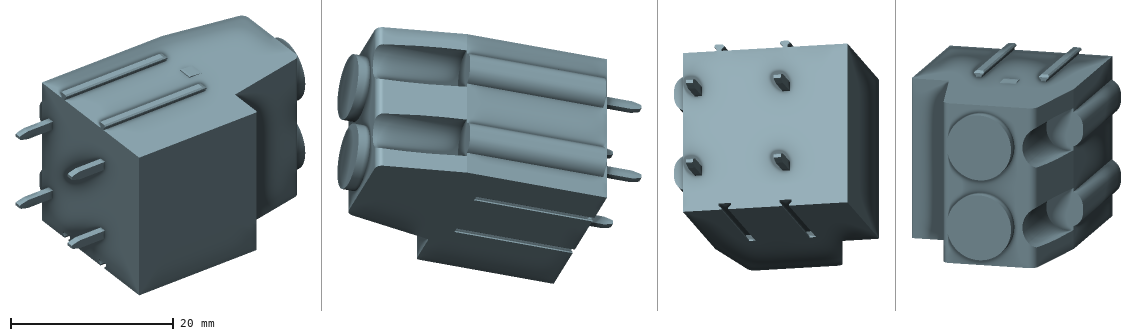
import cadquery as cq
import math

body_width = 20.8
body_height = 20.25
tower_top = 29.3
ledge_y = 17.85
kink_y = 18.2
tower_left = 1.9
tower_right = 13.6
ledge_left = 16.0
tower_fillet = 1.0
ledge_fillet = 0.3

pole_pitch = 10.13
first_pole_z = 5.1
pole_heights = [first_pole_z, first_pole_z + pole_pitch]

screw_x = 8.63
screw_diameter = 8.25
screw_length = 1.5

ridge_depth = 1.2
ridge_flat_half = 0.43
ridge_radius = 1.85
ridge_start = 0.5
ridge_mid_angle = math.radians(35)

hollow_x = 0.7
hollow_radius = 2.75

pin_centers = [1.97, 13.05]
pin_width = 0.9
pin_height = 1.15
pin_length = 5.0
pin_taper_start = 3.8
pin_bevel_start = 4.8
pin_taper_height = 0.65
pin_tip_height = 0.4
pin_root = 0.7

rail_centers = [4.6, 12.9]
rail_width = 1.2
rail_neck = 0.65
rail_height = 0.82
rail_neck_height = 0.25
rail_flare_height = 0.5
rail_chamfer = 0.18
rail_length = 15.35
rail_end_run = 0.55
rail_end_drop = 0.25
rail_root = 0.18
slot_centers = [5.3, 12.95]
slot_width = 1.55
slot_neck = 0.85
slot_depth = 0.8
slot_neck_height = 0.18
slot_flare_height = 0.5

key_center_x = 8.65
key_width = 2.0
key_height = 0.15
key_start = 15.45
key_end = 17.4
key_flat = 0.32


def make_body():
    """Block with a tapered, rounded tower and a side ledge."""
    block = (
        cq.Workplane("XY")
        .moveTo(0, 0)
        .lineTo(body_width, 0)
        .lineTo(body_width, ledge_y)
        .lineTo(ledge_left, ledge_y)
        .lineTo(tower_right, tower_top)
        .lineTo(tower_left, tower_top)
        .lineTo(0, kink_y)
        .close()
        .extrude(body_height)
    )
    ledge_corner = cq.selectors.NearestToPointSelector((body_width, ledge_y, body_height / 2))
    block = block.edges("|Z").edges(">Y").fillet(tower_fillet)
    return block.edges(ledge_corner).fillet(ledge_fillet)


def make_screw_head(z):
    """Head rooted one head-length inside the tower."""
    return (
        cq.Workplane("XZ", origin=(screw_x, tower_top + screw_length, z))
        .circle(screw_diameter / 2)
        .extrude(2 * screw_length)
    )


def make_ridge(z):
    """Bar along Y with a flat crest and two round flanks, rooted inside the -X wall."""
    root_x = ridge_depth
    flank_center_x = ridge_radius - ridge_depth
    mid_x = flank_center_x - ridge_radius * math.cos(ridge_mid_angle)
    mid_z = ridge_flat_half + ridge_radius * math.sin(ridge_mid_angle)
    end_z = ridge_flat_half + math.sqrt(ridge_radius**2 - flank_center_x**2)
    return (
        cq.Workplane("XZ", origin=(0, kink_y, z))
        .moveTo(-ridge_depth, -ridge_flat_half)
        .lineTo(-ridge_depth, ridge_flat_half)
        .threePointArc((mid_x, mid_z), (0, end_z))
        .lineTo(root_x, end_z)
        .lineTo(root_x, -end_z)
        .lineTo(0, -end_z)
        .threePointArc((mid_x, -mid_z), (-ridge_depth, -ridge_flat_half))
        .close()
        .extrude(kink_y - ridge_start)
    )


def make_hollow(z):
    """Cylinder along Y that scoops the sloping wall above a ridge."""
    return (
        cq.Workplane("XZ", origin=(hollow_x, kink_y, z))
        .circle(hollow_radius)
        .extrude(kink_y - tower_top)
    )


def make_pin(x, z):
    """Flat pin whose end narrows in Z in two steps."""
    half_profile = [
        (pin_root, pin_height / 2),
        (-pin_taper_start, pin_height / 2),
        (-pin_bevel_start, pin_taper_height / 2),
        (-pin_length, pin_tip_height / 2),
    ]
    mirrored = [(y, -half) for y, half in reversed(half_profile)]
    return (
        cq.Workplane("YZ", origin=(x - pin_width / 2, 0, z))
        .polyline(half_profile + mirrored)
        .close()
        .extrude(pin_width)
    )


def make_rail(x):
    """Dovetail rail with chamfered crest and a ramp cut off its inner end."""
    half_profile = [
        (rail_neck / 2, -rail_root),
        (rail_neck / 2, rail_neck_height),
        (rail_width / 2, rail_flare_height),
        (rail_width / 2, rail_height - rail_chamfer),
        (rail_width / 2 - rail_chamfer, rail_height),
    ]
    mirrored = [(-half, z) for half, z in reversed(half_profile)]
    rail = (
        cq.Workplane("XZ", origin=(x, rail_length, body_height))
        .polyline(half_profile + mirrored)
        .close()
        .extrude(rail_length)
    )
    crest = body_height + rail_height
    ramp = (
        cq.Workplane("YZ", origin=(x - rail_width / 2, 0, 0))
        .moveTo(rail_length, crest)
        .lineTo(rail_length - rail_end_run, crest)
        .lineTo(rail_length, crest - rail_end_drop)
        .close()
        .extrude(rail_width)
    )
    return rail.cut(ramp)


def make_slot(x):
    """Dovetail slot volume, open at the underside and the pin face."""
    half_profile = [
        (slot_neck / 2, 0),
        (slot_neck / 2, slot_neck_height),
        (slot_width / 2, slot_flare_height),
        (slot_width / 2, slot_depth),
    ]
    mirrored = [(-half, z) for half, z in reversed(half_profile)]
    return (
        cq.Workplane("XZ", origin=(x, rail_length, 0))
        .polyline(half_profile + mirrored)
        .close()
        .extrude(rail_length)
    )


def make_key():
    """Low wedge that rises toward the pin face and ends in a short flat."""
    return (
        cq.Workplane("YZ", origin=(key_center_x - key_width / 2, 0, body_height))
        .moveTo(key_start, 0)
        .lineTo(key_start, key_height)
        .lineTo(key_start + key_flat, key_height)
        .lineTo(key_end, 0)
        .close()
        .extrude(key_width)
    )


result = make_body()
for pole_z in pole_heights:
    result = result.cut(make_hollow(pole_z))
    result = result.union(make_ridge(pole_z))
    result = result.union(make_screw_head(pole_z))
    for pin_x in pin_centers:
        result = result.union(make_pin(pin_x, pole_z))
for rail_x in rail_centers:
    result = result.union(make_rail(rail_x))
for slot_x in slot_centers:
    result = result.cut(make_slot(slot_x))
result = result.union(make_key())